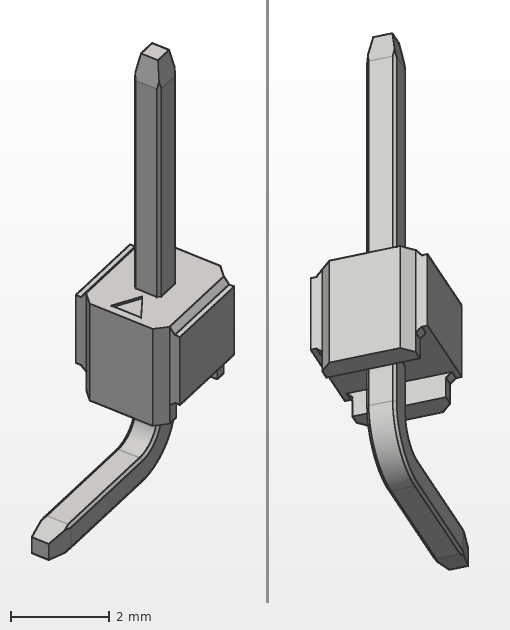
import cadquery as cq

TOTAL_HEIGHT = 10.36
HOUSING_WIDTH = 2.54
HOUSING_DEPTH = 2.51
PIN_FRONT_REACH = 4.25

PIN_WIDTH = 0.64
PIN_EDGE_CHAMFER = 0.06
BEND_RADIUS = 1.5 * PIN_WIDTH
TIP_LENGTH = 0.64
TIP_WIDTH = 0.41
LEG_AXIS_Z = PIN_WIDTH / 2

HOUSING_BOTTOM = 1.86
HOUSING_HEIGHT = 2.5
HOUSING_TOP = HOUSING_BOTTOM + HOUSING_HEIGHT
CORNER_CHAMFER = 0.25
CORE_WIDTH = 2.03
WING_LENGTH = HOUSING_DEPTH - 2 * CORNER_CHAMFER
WING_STEP = 0.12
WING_TOP_DROP = 0.16
WING_BOTTOM_RISE = 0.59
WING_ROOT_RISE = 0.48
SLOT_WIDTH = 1.51
SLOT_HEIGHT = WING_BOTTOM_RISE

MARK_WIDTH = 0.73
MARK_APEX_Y = -0.47
MARK_BASE_Y = -1.07
MARK_DEPTH = 0.05


def pin_leg(start, direction, length):
    """Straight square leg with chamfered long edges and a tapered tip."""
    plane = cq.Plane(origin=start, xDir=(1, 0, 0), normal=direction)
    bar = (
        cq.Workplane(plane)
        .rect(PIN_WIDTH, PIN_WIDTH)
        .extrude(length)
        .edges("|" + ("Z" if direction[2] else "Y"))
        .chamfer(PIN_EDGE_CHAMFER)
    )
    shank_length = length - TIP_LENGTH
    shank = cq.Workplane(plane).rect(PIN_WIDTH, PIN_WIDTH).extrude(shank_length)
    taper = (
        cq.Workplane(plane)
        .workplane(offset=shank_length)
        .rect(PIN_WIDTH, PIN_WIDTH)
        .workplane(offset=TIP_LENGTH)
        .rect(TIP_WIDTH, TIP_WIDTH)
        .loft(ruled=True)
    )
    return bar.intersect(shank.union(taper))


def make_pin():
    bend_top = LEG_AXIS_Z + BEND_RADIUS
    upright = pin_leg((0, 0, bend_top), (0, 0, 1), TOTAL_HEIGHT - bend_top)
    foot = pin_leg((0, -BEND_RADIUS, LEG_AXIS_Z), (0, -1, 0), PIN_FRONT_REACH - BEND_RADIUS)
    bend_axis_start = cq.Vector(0, -BEND_RADIUS, bend_top)
    bend_axis_end = cq.Vector(0.1, -BEND_RADIUS, bend_top)
    section = upright.faces("<Z").wires().val()
    bend = cq.Workplane(cq.Solid.revolve(section, [], -90, bend_axis_start, bend_axis_end))
    return upright.union(bend).union(foot)


def make_wings():
    """Both side wings as one stepped profile running along Y through the core."""
    outer = HOUSING_WIDTH / 2
    ledge = outer - WING_STEP
    root = CORE_WIDTH / 2
    ledge_top = HOUSING_TOP - WING_TOP_DROP
    ledge_bottom = HOUSING_BOTTOM + WING_BOTTOM_RISE
    root_bottom = HOUSING_BOTTOM + WING_ROOT_RISE
    right_side = [
        (root, root_bottom),
        (ledge, ledge_bottom),
        (outer, ledge_bottom),
        (outer, ledge_top),
        (ledge, ledge_top),
        (root, HOUSING_TOP),
    ]
    left_side = [(-x, z) for x, z in reversed(right_side)]
    return cq.Workplane("XZ").polyline(right_side + left_side).close().extrude(WING_LENGTH / 2, both=True)


def make_housing(pin):
    core = (
        cq.Workplane("XY", origin=(0, 0, HOUSING_BOTTOM))
        .rect(CORE_WIDTH, HOUSING_DEPTH)
        .extrude(HOUSING_HEIGHT)
        .edges("|Z")
        .chamfer(CORNER_CHAMFER)
    )
    slot = cq.Workplane("XY", origin=(0, 0, HOUSING_BOTTOM)).rect(HOUSING_WIDTH, SLOT_WIDTH).extrude(SLOT_HEIGHT)
    mark = (
        cq.Workplane("XY", origin=(0, 0, HOUSING_TOP))
        .polyline([(-MARK_WIDTH / 2, MARK_BASE_Y), (MARK_WIDTH / 2, MARK_BASE_Y), (0, MARK_APEX_Y)])
        .close()
        .extrude(-MARK_DEPTH)
    )
    return core.union(make_wings()).cut(slot).cut(mark).cut(pin)


pin = make_pin()
housing = make_housing(pin)

result = cq.Compound.makeCompound([housing.val(), pin.val()])